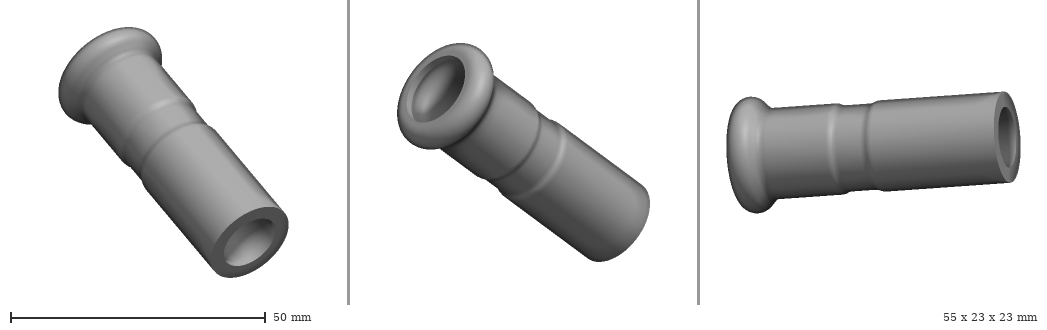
import cadquery as cq
import math

length = 55.0
tube_radius = 18.0 / 2
neck_radius = 17.0 / 2

bead_radius = 23.0 / 2
bead_round = 2.95
bead_center_radius = bead_radius - bead_round
bead_slope = math.radians(45)
bead_fillet = 1.85

neck_blend_start = 20.4
neck_start = 22.4
neck_end = 27.5
neck_blend_end = 29.6

socket_radius = 14.95 / 2
spigot_bore_radius = 12.0 / 2
socket_depth = neck_start

wall = tube_radius - socket_radius
groove_round = bead_round - wall
groove_fillet = bead_fillet + wall

fillet_center_radius = tube_radius + bead_fillet
fillet_center_x = (
    bead_round
    + (bead_round + bead_fillet) / math.sin(bead_slope)
    - (fillet_center_radius - bead_center_radius) / math.tan(bead_slope)
)


def arc_point(center_x, center_r, radius, angle):
    """Point on a circle, with the angle measured from the outward radial direction toward +X."""
    return (center_x + radius * math.sin(angle), center_r + radius * math.cos(angle))


def blend(profile, start, end):
    """Join two parallel outlines by an S-curve of two equal tangent arcs."""
    middle = ((start[0] + end[0]) / 2, (start[1] + end[1]) / 2)
    return profile.tangentArcPoint(middle, relative=False).tangentArcPoint(end, relative=False)


def bead_outline(round_radius, fillet_radius):
    """Outline from the axis over the bead, ending where its fillet meets the tube."""
    front_x = bead_round - round_radius
    round_top = (bead_round, bead_center_radius + round_radius)
    slope_start = arc_point(bead_round, bead_center_radius, round_radius, bead_slope)
    fillet_start = arc_point(fillet_center_x, fillet_center_radius, -fillet_radius, bead_slope)
    fillet_middle = arc_point(fillet_center_x, fillet_center_radius, -fillet_radius, bead_slope / 2)
    fillet_end = (fillet_center_x, fillet_center_radius - fillet_radius)
    return (
        cq.Workplane("XY")
        .moveTo(front_x, 0)
        .lineTo(front_x, bead_center_radius)
        .threePointArc(round_top, slope_start)
        .lineTo(*fillet_start)
        .threePointArc(fillet_middle, fillet_end)
    )


def revolve_about_x(profile):
    return profile.close().revolve(360, (0, 0, 0), (1, 0, 0))


def make_body():
    profile = bead_outline(bead_round, bead_fillet).lineTo(neck_blend_start, tube_radius)
    profile = blend(profile, (neck_blend_start, tube_radius), (neck_start, neck_radius))
    profile = profile.lineTo(neck_end, neck_radius)
    profile = blend(profile, (neck_end, neck_radius), (neck_blend_end, tube_radius))
    profile = profile.lineTo(length, tube_radius).lineTo(length, 0)
    return revolve_about_x(profile)


def make_bore():
    socket = cq.Workplane("YZ").circle(socket_radius).extrude(socket_depth)
    spigot_bore = cq.Workplane("YZ").circle(spigot_bore_radius).extrude(length)
    groove = revolve_about_x(bead_outline(groove_round, groove_fillet).lineTo(fillet_center_x, 0))
    return socket.union(spigot_bore).union(groove)


result = make_body().cut(make_bore())